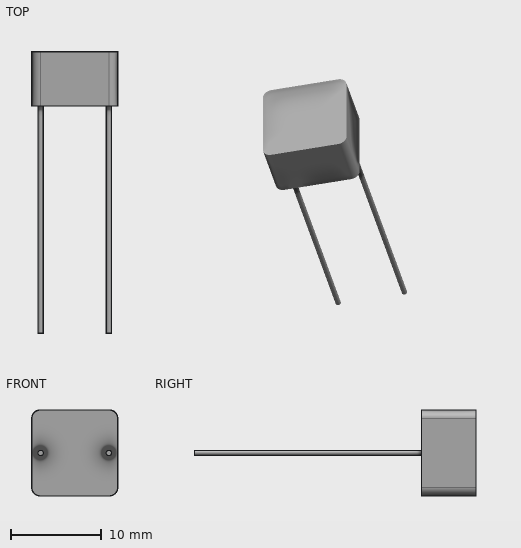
import cadquery as cq

total_length = 31.0
body_width = 9.5
body_depth = 6.0
corner_radius = 0.95

lead_diameter = 0.6
lead_spacing = 7.5
lead_length = total_length - body_depth


def make_body():
    """Square block with its four long edges rounded, front face on Y = 0."""
    block = cq.Workplane("XY").box(body_width, body_depth, body_width, centered=(True, False, True))
    return block.edges("|Y").fillet(corner_radius)


def make_leads():
    """Two round leads extending from the front face toward -Y."""
    return (
        cq.Workplane("XZ")
        .pushPoints([(-lead_spacing / 2, 0), (lead_spacing / 2, 0)])
        .circle(lead_diameter / 2)
        .extrude(lead_length)
    )


result = make_body().union(make_leads())